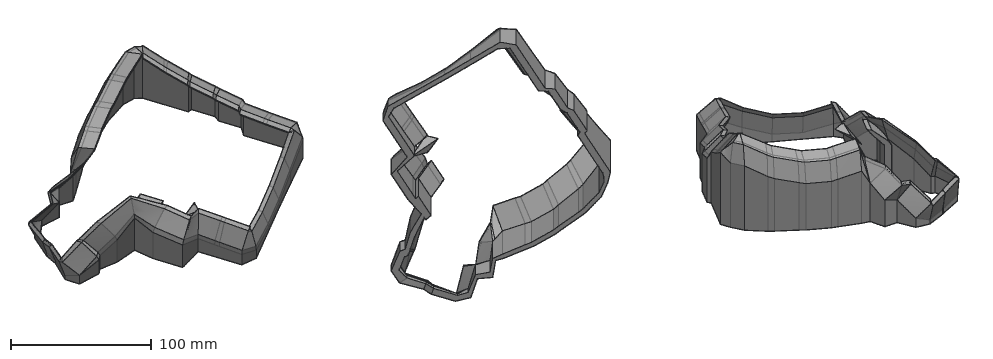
import cadquery as cq


WALL = 5.0
THIN_WALL = 3.5
RIM = 2.3
RIM_DROP = 1.8
CHIN_DROP = -3.0

BACK_Y = 172.7
TAB_Y = 175.4
BACK_STEP_Y = 167.0
RIGHT_X = 158.0
STRAP_Y = 55.6
CHEEK_Y = 39.0
CHEEK_END_Y = CHEEK_Y + 2.6

SIDE_BAR = [(0, 0), (5.3, 14.4), (7.7, 14.9), (17.7, 17.5), (18.0, 16.1), (18.0, 16.1), (THIN_WALL, 0)]
BACK_BAR = [(0, 0), (2.0, 1.8), (2.0, 1.8), (13.9, 11.5), (17.2, 10.5), (15.5, 6.7), (WALL, 0)]
THIN_BAR = [(0, 0), (0.4, 4.0), (0.4, 4.0), (4.5, 16.3), (7.5, 17.7), (4.7, 13.5), (THIN_WALL, 0)]
STRAP_BAR = [(0, 0), (0.7, 4.0), (0.7, 4.0), (10.5, 15.6), (13.9, 16.5), (12.0, 11.2), (WALL, 0)]
CHEEK_BAR = [(0, 0), (2.3, 3.5), (2.3, 3.5), (14, 12.3), (17.4, 12.6), (14, 8.8), (WALL, 0)]
BRIDGE_BAR = [(0, 0), (1.5, 3.5), (1.5, 3.5), (12.1, 14.2), (15.6, 14.2), (11.4, 7), (WALL, -3.5)]


def bar_slice(profile, foot, height, inward):
    """Slice whose bar follows a profile, leaning along the inward direction."""
    x, y = foot
    dx, dy = inward
    bar = [(x + inset * dx, y + inset * dy, height + rise) for inset, rise in profile]
    inner_x, inner_y, _ = bar[-1]
    return [(x, y, 0)] + bar + [(inner_x, inner_y, 0)]


def bar_slices(profile, stations):
    return [bar_slice(profile, foot, height, inward) for foot, height, inward in stations]


def face_slice(foot, height, crest, inward, base=0):
    """Slice of the face opening, whose bar runs from the wall top to a free crest point."""
    x, y = foot
    dx, dy = inward
    inner_x, inner_y = x + WALL * dx, y + WALL * dy
    crest_x, crest_y, crest_z = crest
    top = (x, y, height)
    rim = (crest_x + RIM * dx, crest_y + RIM * dy, crest_z + RIM)
    under = (rim[0], rim[1], rim[2] - RIM_DROP)
    inner = (inner_x, inner_y, height)
    return [(x, y, base), top, top, top, crest, rim, under, inner, (inner_x, inner_y, base)]


def flat_face(points):
    return cq.Face.makeFromWires(cq.Wire.makePolygon([cq.Vector(*p) for p in points], close=True))


def patch(a, b, c, d):
    """Face between the slice edges ab and dc: flat if it has three corners, ruled if four."""
    corners = list(dict.fromkeys((a, b, c, d)))
    if len(corners) < 3:
        return []
    if len(corners) == 3:
        return [flat_face(corners)]
    near_edge, far_edge = (cq.Edge.makeLine(cq.Vector(*p), cq.Vector(*q)) for p, q in ((a, b), (d, c)))
    return [cq.Face.makeRuledSurface(near_edge, far_edge)]


def ring_faces(slices, next_slices):
    faces = []
    for near, far in zip(slices, next_slices):
        for i in range(len(near)):
            j = (i + 1) % len(near)
            faces += patch(near[i], near[j], far[j], far[i])
    return faces


def solid_from(faces):
    solid = cq.Solid.makeSolid(cq.Shell.makeShell(faces))
    return solid.fix()


def closed_ring(slices):
    return solid_from(ring_faces(slices, slices[1:] + slices[:1]))


def straight_piece(first, last):
    """Piece of wall and bar between two slices, closed by a flat cap at each end."""
    caps = [flat_face(list(dict.fromkeys(end))) for end in (first, last)]
    return solid_from(ring_faces([first], [last]) + caps)


def tetrahedron(a, b, c, d):
    return solid_from([flat_face(t) for t in ((a, b, c), (a, b, d), (a, c, d), (b, c, d))])


left_side = bar_slices(
    SIDE_BAR,
    [
        ((14.5, 74.0), 41.4, (0.97, 0.05)),
        ((12.3, 91.7), 37.7, (1, 0.03)),
        ((11.5, 96.5), 36.8, (1, 0)),
        ((11.5, 114.9), 36.8, (1, 0)),
        ((12.3, 119.6), 37.7, (1, -0.03)),
        ((14, 137.3), 41.7, (1, -0.06)),
        ((14.7, 141.9), 43.5, (1, -0.11)),
        ((19.5, 157.6), 51.0, (1, 0)),
        ((26.1, 166.8), 51.0, (0.62, -0.47)),
    ],
)
back_side = bar_slices(
    BACK_BAR,
    [
        ((32.1, BACK_Y), 57.0, (0.38, -1)),
        ((48.4, BACK_Y), 48.4, (0.35, -1)),
        ((51.0, BACK_Y), 47.3, (0.32, -1)),
        ((67.0, BACK_Y), 40.5, (0.32, -1)),
        ((68.4, TAB_Y), 35, (0.28, -1)),
        ((86.5, TAB_Y), 29.8, (0.24, -1)),
        ((90.7, BACK_Y), 32.5, (0.18, -1)),
        ((107.7, BACK_Y), 27.7, (0.18, -1)),
        ((111.9, BACK_STEP_Y), 32.5, (0.12, -1)),
        ((130.1, BACK_STEP_Y), 30.2, (0.1, -1)),
        ((133.3, BACK_STEP_Y), 29.8, (0.07, -1)),
        ((151.2, BACK_STEP_Y), 28.2, (0.02, -1)),
    ],
)
right_side = bar_slices(
    THIN_BAR,
    [
        ((158.9, 158.4), 22.1, (-1, -1.2)),
        ((158.4, 133.3), 13.3, (-1, 0)),
        ((RIGHT_X, 111.5), 6.1, (-1, 0)),
        ((RIGHT_X, 89.5), 5.3, (-1, 0)),
        ((RIGHT_X, 64.5), 10.2, (-1, 0.7)),
    ],
)
strap_side = bar_slices(
    STRAP_BAR,
    [
        ((150.3, STRAP_Y), 12.8, (0.1, 1)),
        ((133.3, STRAP_Y), 14.4, (0, 1)),
        ((129.8, STRAP_Y), 14.7, (0.05, 1)),
        ((117.3, STRAP_Y), 16.1, (-0.35, 1)),
    ],
)
cheek_side = bar_slices(
    CHEEK_BAR,
    [
        ((111.7, CHEEK_Y), 27.4, (0, 1)),
        ((89.3, CHEEK_Y), 32.0, (0.25, 1)),
    ],
)
bridge_side = bar_slices(
    BRIDGE_BAR,
    [
        ((74.5, 41.2), 39.3, (-0.39, 0.49)),
        ((66.5, 27.2), 27.4, (-1, 0)),
        ((57.2, 17.2), 16.8, (-1, -0.1)),
        ((57.9, 13.3), 16.8, (-1.1, 0.05)),
    ],
)
face_side = [
    face_slice((48.0, 0), 10.7, (34.9, 0.4, 20.0), (-0.5, 1)),
    face_slice((37.0, 0.2), 4.7, (32.8, 0, 19.5), (0.1, 1.3)),
    face_slice((24.9, 13.0), 0.7, (20.3, 13.0, 14.7), (0.6, 0.7), CHIN_DROP),
    face_slice((17.7, 14.9), 4.0, (15.0, 13.3, 17.9), (0.6, 0.75)),
    face_slice((4.2, 26.7), 3.3, (0, 25.3, 16.3), (0.6, 0.75)),
    face_slice((0.9, 37.5), 7.2, (0.2, 26.3, 18.5), (0.9, 0.1)),
    face_slice((10.9, 49.1), 18.0, (12.0, 39.0, 29.1), (0.7, 0.1)),
    face_slice((10.9, 49.1), 18.0, (7, 46.3, 31.2), (0.7, 0.1)),
    face_slice((6.1, 59.0), 21, (7, 46.3, 31.2), (0.9, 0.1)),
    face_slice((16.1, 67.5), 30.5, (18.2, 56.1, 39.8), (0.5, -0.2)),
    face_slice((16.1, 67.5), 30.5, (25.0, 69.6, 44.5), (0.5, -0.2)),
]

ring = left_side + back_side + right_side + strap_side + cheek_side + bridge_side + face_side

cheek_end = straight_piece(
    bar_slice(CHEEK_BAR, (86.3, CHEEK_END_Y), 32.0, (0.2, 1)),
    bar_slice(CHEEK_BAR, (69.0, CHEEK_END_Y), 32.1, (0.2, 1)),
)
strap_stub = tetrahedron((107.1, 75.2, 29.6), (103.5, 64.2, 25.0), (110.8, 55.2, 14), (113.1, 68.4, 31.5))

body = cq.Workplane("XY").newObject([closed_ring(ring)]).union(cheek_end).union(strap_stub)
result = cq.Workplane("XY").newObject([body.solids().val()])